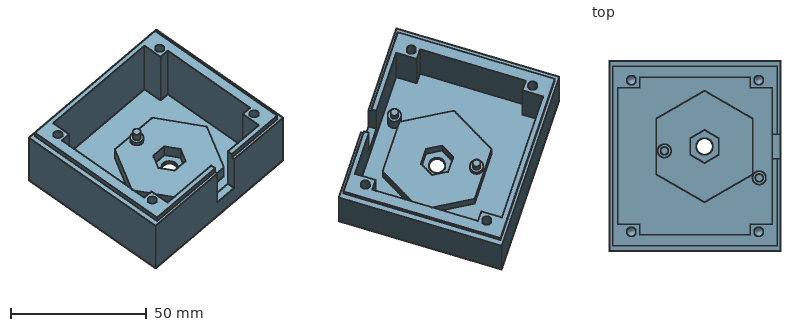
import cadquery as cq
import math

length_x = 63.0
width_y = 70.0
height = 26.5
floor_thickness = 1.5

lip_height = 2.0
lip_inset_x = 1.1
lip_inset_y = 2.0

cavity_x = 56.85
cavity_y = 58.1
post_x = 8.0
post_y = 4.0

screw_diameter = 3.4
screw_spacing_x = 46.9
screw_spacing_y = 55.85
screw_depth = 10.0
drill_point_angle = 118.0

boss_center = (3.5, 3.5)
boss_corners = 41.1
boss_top = 6.6
nut_corners = 12.2
bore_diameter = 6.0

peg_centers = [(-11.3, 1.9), (23.65, -8.05)]
peg_diameter = 5.0
peg_shoulder_z = 8.2
pin_diameter = 2.9
pin_top_z = 11.5

notch_width = 9.1
notch_bottom_z = 8.0


def block(size_x, size_y, bottom, top):
    """Upright rectangular block centred on the Z axis."""
    return cq.Workplane("XY").workplane(offset=bottom).rect(size_x, size_y).extrude(top - bottom)


def hexagon(center, corners, bottom, top):
    """Hexagonal prism with two corners pointing along Y."""
    outline = cq.Workplane("XY").polygon(6, corners).extrude(top - bottom)
    return outline.rotate((0, 0, 0), (0, 0, 1), 90).translate((*center, bottom))


def cylinder(center, diameter, bottom, top):
    """Upright cylinder."""
    disc = cq.Workplane("XY").workplane(offset=bottom).center(*center).circle(diameter / 2)
    return disc.extrude(top - bottom)


def make_shell():
    """Lipped box, hollowed out except for the corner posts."""
    outer = block(length_x, width_y, 0, height - lip_height)
    lip = block(length_x - 2 * lip_inset_x, width_y - 2 * lip_inset_y, height - lip_height, height)
    cavity = block(cavity_x, cavity_y - 2 * post_y, floor_thickness, height)
    cavity = cavity.union(block(cavity_x - 2 * post_x, cavity_y, floor_thickness, height))
    return outer.union(lip).cut(cavity)


def make_screw_holes():
    """Four pointed blind holes, one in each post."""
    radius = screw_diameter / 2
    shoulder_z = height - screw_depth
    tip_z = shoulder_z - radius / math.tan(math.radians(drill_point_angle / 2))
    profile = [(0, tip_z), (radius, shoulder_z), (radius, height), (0, height)]
    hole = cq.Workplane("XZ").polyline(profile).close().revolve(360, (0, 0, 0), (0, 1, 0))
    holes = cq.Workplane("XY")
    for side_x in (-1, 1):
        for side_y in (-1, 1):
            position = (side_x * screw_spacing_x / 2, side_y * screw_spacing_y / 2, 0)
            holes = holes.add(hole.translate(position))
    return holes.combine()


def make_notch():
    """Cutter through the +X wall, level with the boss centre in Y."""
    wall = (length_x - cavity_x) / 2
    notch = block(wall, notch_width, notch_bottom_z, height)
    return notch.translate(((length_x - wall) / 2, boss_center[1], 0))


result = make_shell().cut(make_screw_holes()).cut(make_notch())

result = result.union(hexagon(boss_center, boss_corners, floor_thickness, boss_top))
result = result.cut(hexagon(boss_center, nut_corners, floor_thickness, boss_top))
result = result.cut(cylinder(boss_center, bore_diameter, 0, floor_thickness))

for peg_center in peg_centers:
    result = result.union(cylinder(peg_center, peg_diameter, floor_thickness, peg_shoulder_z))
    result = result.union(cylinder(peg_center, pin_diameter, peg_shoulder_z, pin_top_z))